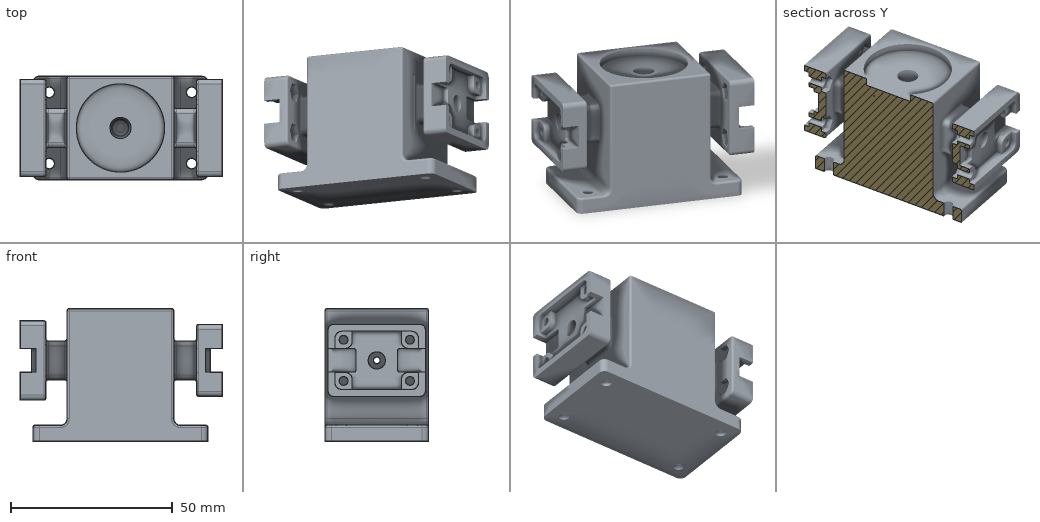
import cadquery as cq
import math

block_length = 33.0
depth = 32.0
total_height = 41.0
foot_length = 54.0
foot_height = 5.0
foot_corner_radius = 2.0
root_fillet = 2.0
edge_round = 0.7

foot_hole_diameter = 3.2
foot_hole_x = 22.0
foot_hole_y = 11.0

recess_diameter = 27.27
recess_depth = 2.5
socket_top_diameter = 6.5
socket_bottom_diameter = 4.75
socket_depth = 12.0
socket_floor_fillet = 1.0

arm_axis_z = 25.0
neck_width = 12.0
neck_edge_round = 1.5
neck_root_fillet = 0.75
plate_thickness = 8.0
plate_corner_radius = 1.5
plate_rim_round = 0.65

wall = 2.1
boss_size = 5.3
boss_height = 2.0
boss_corner_radius = 2.2
pocket_corner_radius = 2.15
screw_diameter = 2.7
screw_spacing_y = 20.5
nut_across_flats = 5.3
nut_depth = 1.7
notch_height = 7.3
notch_inner_y = 6.4
notch_corner_radius = 0.75
notch_below_floor = 1.5

left_arm = {"side": -1, "reach": 31.0, "spacing_z": 15.0, "pocket_depth": 3.5}
right_arm = {"side": 1, "reach": 31.5, "spacing_z": 12.7, "pocket_depth": 3.7}

arm_bore_diameter = 5.3
cross_bore_diameter = 2.0

slot_inner_y = 7.0
slot_outer_y = 8.4
slot_top_z = 33.7
slot_depth = 2.0


def bar(x_start, x_end, size_y, size_z, center_y=0.0, center_z=arm_axis_z):
    """Box between two X positions, centred on a Y, Z position."""
    return cq.Workplane("XY").box(abs(x_end - x_start), size_y, size_z).translate(
        ((x_start + x_end) / 2, center_y, center_z)
    )


def rod(x_start, x_end, diameter, center_y=0.0, center_z=arm_axis_z):
    """Cylinder along X between two X positions."""
    return (
        cq.Workplane("YZ", origin=(min(x_start, x_end), center_y, center_z))
        .circle(diameter / 2)
        .extrude(abs(x_end - x_start))
    )


def make_block():
    half_block = block_length / 2
    half_foot = foot_length / 2
    body = (
        cq.Workplane("XZ", origin=(0, depth / 2, 0))
        .moveTo(-half_foot, 0)
        .lineTo(half_foot, 0)
        .lineTo(half_foot, foot_height)
        .lineTo(half_block + root_fillet, foot_height)
        .radiusArc((half_block, foot_height + root_fillet), root_fillet)
        .lineTo(half_block, total_height)
        .lineTo(-half_block, total_height)
        .lineTo(-half_block, foot_height + root_fillet)
        .radiusArc((-half_block - root_fillet, foot_height), root_fillet)
        .lineTo(-half_foot, foot_height)
        .close()
        .extrude(depth)
    )
    foot_corners = cq.selectors.BoxSelector(
        (-foot_length, -depth, 0), (foot_length, depth, foot_height)
    )
    body = body.edges("|Z").edges(foot_corners).fillet(foot_corner_radius)
    return body.faces(">Z or >Y or <Y").edges("not <Z").fillet(edge_round)


def cut_top(body):
    recess_floor_z = total_height - recess_depth
    recess_floor = cq.Workplane("XY", origin=(0, 0, recess_floor_z))
    recess = recess_floor.circle(recess_diameter / 2).extrude(recess_depth)
    socket = (
        recess_floor
        .circle(socket_top_diameter / 2)
        .workplane(offset=-socket_depth)
        .circle(socket_bottom_diameter / 2)
        .loft()
        .faces("<Z")
        .edges()
        .fillet(socket_floor_fillet)
    )
    return body.cut(recess).cut(socket)


def cut_foot_holes(body):
    return body.cut(
        cq.Workplane("XY")
        .rect(2 * foot_hole_x, 2 * foot_hole_y, forConstruction=True)
        .vertices()
        .circle(foot_hole_diameter / 2)
        .extrude(foot_height)
    )


def cut_slot(body):
    face_x = -block_length / 2
    center_y = (slot_inner_y + slot_outer_y) / 2
    height = 2 * (slot_top_z - arm_axis_z)
    return body.cut(bar(face_x, face_x + slot_depth, slot_outer_y - slot_inner_y, height, center_y))


def make_plate(side, reach, spacing_z, pocket_depth):
    outer_x = side * reach
    inner_x = side * (reach - plate_thickness)
    floor_x = side * (reach - pocket_depth)
    boss_top_x = floor_x + side * boss_height
    notch_floor_x = floor_x - side * notch_below_floor
    pocket_width = screw_spacing_y + boss_size
    pocket_height = spacing_z + boss_size
    plate_width = pocket_width + 2 * wall
    plate_height = pocket_height + 2 * wall
    inner_face = "<X" if side > 0 else ">X"

    plate = bar(inner_x, outer_x, plate_width, plate_height).edges("|X").fillet(plate_corner_radius)
    plate = plate.faces(inner_face).edges().fillet(plate_rim_round)
    pocket = bar(floor_x, outer_x, pocket_width, pocket_height).edges("|X").fillet(pocket_corner_radius)

    screw_places = [
        (sign_y, sign_z, sign_y * screw_spacing_y / 2, arm_axis_z + sign_z * spacing_z / 2)
        for sign_y in (-1, 1)
        for sign_z in (-1, 1)
    ]
    for sign_y, sign_z, y, z in screw_places:
        boss = bar(floor_x, boss_top_x, boss_size, boss_size, y, z)
        middle_side = "<Y" if sign_y > 0 else ">Y"
        axis_side = "<Z" if sign_z > 0 else ">Z"
        boss = boss.edges("|X").edges(middle_side).edges(axis_side).fillet(boss_corner_radius)
        pocket = pocket.cut(boss)
    plate = plate.cut(pocket)

    notch_length = plate_width / 2 - notch_inner_y
    for sign_y in (-1, 1):
        inner_end = "<Y" if sign_y > 0 else ">Y"
        notch_y = sign_y * (notch_inner_y + notch_length / 2)
        notch = bar(notch_floor_x, outer_x, notch_length, notch_height, notch_y)
        plate = plate.cut(notch.faces(inner_end).edges("|X").fillet(notch_corner_radius))

    for _, _, y, z in screw_places:
        nut_recess = (
            cq.Workplane("YZ", origin=(inner_x, y, z))
            .polygon(6, nut_across_flats / math.cos(math.pi / 6))
            .extrude(side * nut_depth)
        )
        plate = plate.cut(rod(inner_x, outer_x, screw_diameter, y, z)).cut(nut_recess)
    return plate


def add_arm(body, side, reach, spacing_z, pocket_depth):
    block_x = side * block_length / 2
    plate_x = side * (reach - plate_thickness)
    neck = bar(block_x, plate_x, neck_width, neck_width).edges("|X").fillet(neck_edge_round)
    body = body.union(neck).union(make_plate(side, reach, spacing_z, pocket_depth))
    half_neck = neck_width / 2
    margin = 0.1
    for end_x in (block_x, plate_x):
        neck_end = cq.selectors.BoxSelector(
            (end_x - margin, -half_neck - margin, arm_axis_z - half_neck - margin),
            (end_x + margin, half_neck + margin, arm_axis_z + half_neck + margin),
        )
        body = body.edges(neck_end).fillet(neck_root_fillet)
    return body.cut(rod(block_x, side * reach, arm_bore_diameter))


result = make_block()
for arm in (left_arm, right_arm):
    result = add_arm(result, **arm)
result = cut_slot(cut_foot_holes(cut_top(result)))
result = result.cut(rod(-block_length / 2, block_length / 2, cross_bore_diameter))